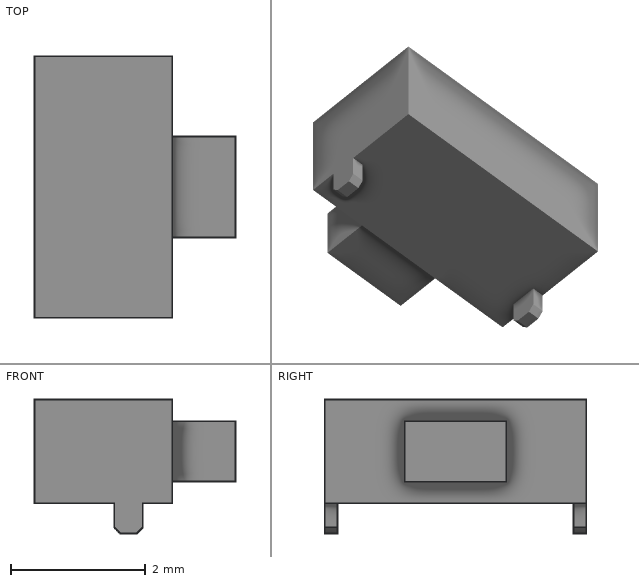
import cadquery as cq

housing_width = 2.055
housing_length = 3.9
housing_height = 1.55

peg_width = 0.43
peg_thickness = 0.195
peg_length = 0.452
peg_chamfer = 0.095
peg_center_x = 1.405

slider_reach = 0.945
slider_length = 1.505
slider_height = 0.9
slider_bottom = 0.325


def make_peg(center_y):
    """Downward peg whose two long bottom edges are chamfered."""
    return (
        cq.Workplane("XY")
        .box(peg_width, peg_thickness, peg_length, centered=(True, True, False))
        .edges("<Z and |Y")
        .chamfer(peg_chamfer)
        .translate((peg_center_x, center_y, -peg_length))
    )


def make_housing():
    """Plain block with a peg at each end, all one solid."""
    block = cq.Workplane("XY").box(
        housing_width, housing_length, housing_height, centered=(False, True, False)
    )
    peg_offset = (housing_length - peg_thickness) / 2
    for side in (-1, 1):
        block = block.union(make_peg(side * peg_offset))
    return block


def make_slider():
    """Rectangular knob that meets the housing at its +X face."""
    return (
        cq.Workplane("XY")
        .box(slider_reach, slider_length, slider_height, centered=(False, True, False))
        .translate((housing_width, 0, slider_bottom))
    )


housing = make_housing()
slider = make_slider()

result = cq.Compound.makeCompound([housing.val(), slider.val()])